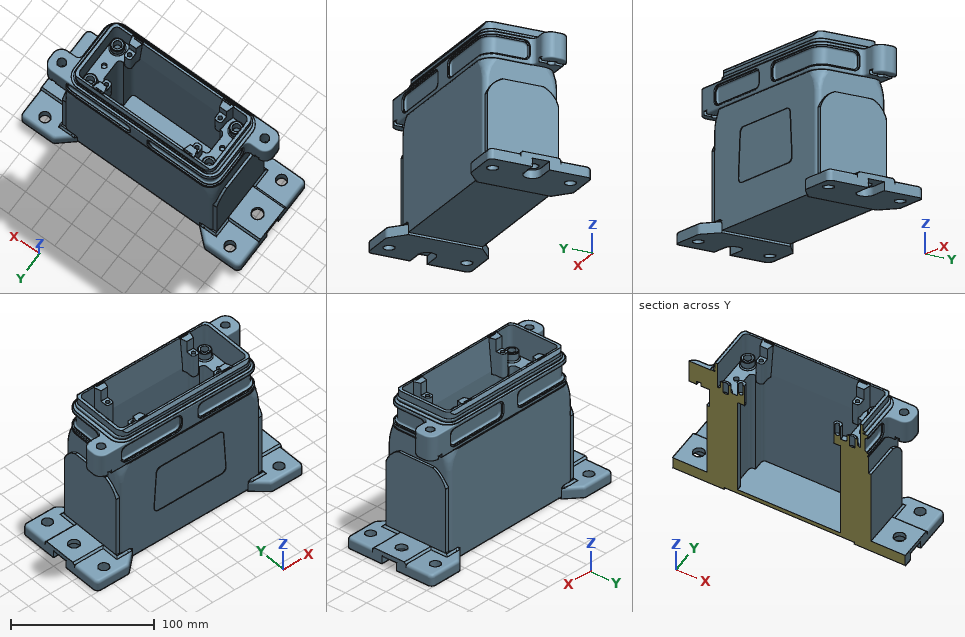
import cadquery as cq
import math

LENGTH = 189.0
WIDTH = 80.0
HEIGHT = 119.8

BODY_HALF_X = 64.6
BODY_HALF_Y = 29.0
BODY_BOTTOM = 1.7
BODY_CORNER = 4.2
CORNER_BLEND_START = 75.6
CORNER_BLEND_STEPS = 4

END_PLATE_HALF_X = 66.7
END_PLATE_HALF_Y = 27.8
END_PLATE_TOP = 75.0
END_PLATE_TOP_HALF_Y = 15.9
END_PLATE_SHOULDER = 62.4
END_PLATE_ARC = 20.0

FLANGE_BOTTOM = 91.0
FLANGE_TOP = 111.3
FLANGE_CORNER = 11.2
FLANGE_EDGE = 1.0
FLANGE_STEP_INSET = 0.8
EAR_TOP = 111.0
EAR_END_X = 82.4
EAR_INNER_Y = 10.0
EAR_CORNER = 7.2
EAR_ROOT_FILLET = 3.8
EAR_HOLE_X = 73.3
EAR_HOLE_Y = (EAR_INNER_Y + BODY_HALF_Y) / 2
EAR_HOLE_DIAMETER = 6.6
EAR_NOTCH_WIDTH = 3.4
EAR_NOTCH_HEIGHT = 2.8

RECESS_BOTTOM = 95.0
RECESS_TOP = 107.7
RECESS_DEPTH = 2.8
RECESS_CORNER = 3.8
RECESS_EDGE = 1.1
RECESS_FLOOR_FILLET = 1.1
RECESS_NEAR_X = 8.3
RECESS_FAR_X = 61.6
RECESS_END_Y = 5.7

RIM_HALF_X = 60.1
RIM_HALF_Y = 25.9
RIM_CORNER = 6.6
RIM_CHAMFER_Y = 1.7
RIM_CHAMFER_Z = 2.8
BEAD_HALF_X = 61.8
BEAD_HALF_Y = 26.6
BEAD_BOTTOM = 111.9
BEAD_TOP = 114.3
BEAD_EDGE = 0.8

CAVITY_HALF_X = 57.6
CAVITY_HALF_Y = 22.5
CAVITY_CORNER = 3.8
SHELF_TOP = 97.0
SHELF_INNER_X = 45.5
WELL_HALF_X = 41.5
WELL_HALF_Y = 20.5
WELL_TOP = 92.0
WELL_FLOOR = 5.7
WELL_CORNER = 2.6
BAY_HALF_Y = 9.8
BAY_CORNER = 2.8

COLUMN_X = 39.1
COLUMN_HOLE_Y = 13.6
COLUMN_WIDTH = 6.0
COLUMN_END_Y = 10.4
COLUMN_TOP = 109.2
COLUMN_BOTTOM = 89.8
COLUMN_CORNER = 2.0
COLUMN_HOLE_DIAMETER = 3.0
COLUMN_HOLE_DEPTH = 9.5
RIB_TOP = 119.0
RIB_FRONT_Y = 17.2
RIB_FRONT_WIDTH = 6.0
RIB_ROOT_WIDTH = 9.3
RIB_BACK_Y = 23.6

BOSS_X = 51.5
BOSS_Y = 16.0
BOSS_TOP = 103.8
BOSS_DIAMETER = 10.0
BOSS_BASE_DIAMETER = 12.0
BOSS_HOLE_DIAMETER = 6.0
BOSS_HOLE_DEPTH = 9.5
BOSS_EDGE = 0.5
LOCATION_HOLE_X = 51.0
LOCATION_HOLE_DIAMETER = 4.0
LOCATION_HOLE_DEPTH = 3.8
DRILL_POINT_ANGLE = 118.0

FOOT_WING_TOP = 8.7
FOOT_STRIP_TOP = 10.2
FOOT_STRIP_HALF_Y = 14.2
FOOT_INNER_X = 52.7
FOOT_SHOULDER_X = 65.2
FOOT_CORNER = 3.8
FOOT_INNER_CORNER = 3.8
FOOT_EDGE = 2.5
FOOT_BEAD_TAPER = 45.0
FOOT_SIDE_HOLE_X = 80.0
FOOT_SIDE_HOLE_Y = 30.2
FOOT_SIDE_HOLE_DIAMETER = 8.3
FOOT_MIDDLE_HOLE_X = 81.5
FOOT_MIDDLE_HOLE_DIAMETER = 8.9
FOOT_SLOT_WIDTH = 13.5
FOOT_SLOT_HEIGHT = 6.5

LABEL_BOTTOM = 30.6
LABEL_TOP = 70.7
LABEL_HALF_WIDTH_BOTTOM = 33.0
LABEL_HALF_WIDTH_TOP = 30.5
LABEL_CORNER = 4.2
LABEL_DEPTH = 0.4


def block(x_min, x_max, y_min, y_max, z_min, z_max):
    size = (x_max - x_min, y_max - y_min, z_max - z_min)
    return cq.Workplane("XY").box(*size, centered=False).translate((x_min, y_min, z_min))


def rounded_block(half_x, half_y, radius, z_min, z_max):
    whole = block(-half_x, half_x, -half_y, half_y, z_min, z_max)
    return whole.edges("|Z").fillet(radius)


def with_half_turn(shape):
    """The shape together with its copy turned half way round the vertical axis."""
    return shape.union(shape.rotate((0, 0, 0), (0, 0, 1), 180))


def four_corners(x, y):
    return [(side_x * x, side_y * y) for side_x in (-1, 1) for side_y in (-1, 1)]


def cylinder(x, y, diameter, z_min, z_max):
    disc = cq.Workplane("XY", origin=(x, y, z_min)).circle(diameter / 2)
    return disc.extrude(z_max - z_min)


def drilled_hole(x, y, diameter, top, depth):
    """A blind hole with a conical bottom."""
    radius = diameter / 2
    point = radius / math.tan(math.radians(DRILL_POINT_ANGLE / 2))
    half_section = [(0, 0), (radius, 0), (radius, -depth), (0, -depth - point)]
    hole = cq.Workplane("XZ").polyline(half_section).close().revolve(360, (0, 0), (0, 1))
    return hole.translate((x, y, top))


def make_body():
    body = rounded_block(BODY_HALF_X, BODY_HALF_Y, BODY_CORNER, BODY_BOTTOM, CORNER_BLEND_START)

    blend = cq.Workplane("XY", origin=(0, 0, CORNER_BLEND_START))
    sections = []
    for step in range(CORNER_BLEND_STEPS + 1):
        part_way = step / CORNER_BLEND_STEPS
        radius = BODY_CORNER + (FLANGE_CORNER - BODY_CORNER) * part_way**2
        section = cq.Sketch().rect(2 * BODY_HALF_X, 2 * BODY_HALF_Y).vertices().fillet(radius)
        rise = (FLANGE_BOTTOM - CORNER_BLEND_START) * part_way
        sections.append(section.moved(cq.Location(cq.Vector(0, 0, rise))))
    body = body.union(blend.placeSketch(*sections).loft())

    plate_outline = (
        cq.Workplane("YZ")
        .moveTo(-END_PLATE_HALF_Y, BODY_BOTTOM)
        .lineTo(-END_PLATE_HALF_Y, END_PLATE_SHOULDER)
        .radiusArc((-END_PLATE_TOP_HALF_Y, END_PLATE_TOP), END_PLATE_ARC)
        .lineTo(END_PLATE_TOP_HALF_Y, END_PLATE_TOP)
        .radiusArc((END_PLATE_HALF_Y, END_PLATE_SHOULDER), END_PLATE_ARC)
        .lineTo(END_PLATE_HALF_Y, BODY_BOTTOM)
        .close()
    )
    plates = plate_outline.extrude(END_PLATE_HALF_X, both=True)
    return body.union(plates)


def make_flange():
    ear = block(0, EAR_END_X, EAR_INNER_Y, BODY_HALF_Y, FLANGE_BOTTOM, EAR_TOP)
    ear = ear.edges("|Z and >X").fillet(EAR_CORNER)
    flange = rounded_block(BODY_HALF_X, BODY_HALF_Y, FLANGE_CORNER, FLANGE_BOTTOM, EAR_TOP)
    flange = flange.union(with_half_turn(ear)).clean()
    for root in [(BODY_HALF_X, EAR_INNER_Y), (-BODY_HALF_X, -EAR_INNER_Y)]:
        middle = (*root, (FLANGE_BOTTOM + EAR_TOP) / 2)
        flange = flange.edges(cq.selectors.NearestToPointSelector(middle)).fillet(EAR_ROOT_FILLET)
    flange = flange.faces("<Z or >Z").edges().fillet(FLANGE_EDGE)

    step_x = BODY_HALF_X - FLANGE_STEP_INSET
    step_y = BODY_HALF_Y - FLANGE_STEP_INSET
    step_corner = FLANGE_CORNER - FLANGE_STEP_INSET
    flange = flange.union(rounded_block(step_x, step_y, step_corner, EAR_TOP, FLANGE_TOP))

    hole = cylinder(EAR_HOLE_X, EAR_HOLE_Y, EAR_HOLE_DIAMETER, FLANGE_BOTTOM, EAR_TOP)
    notch = block(
        EAR_HOLE_X - EAR_NOTCH_WIDTH / 2, EAR_HOLE_X + EAR_NOTCH_WIDTH / 2, 0, BODY_HALF_Y,
        FLANGE_BOTTOM, FLANGE_BOTTOM + EAR_NOTCH_HEIGHT,
    )
    return flange.cut(with_half_turn(hole.union(notch)))


def recess_step(margin, depth):
    """Recesses of one front and one end side, grown by a margin and cut to a depth."""
    bottom = RECESS_BOTTOM - margin
    top = RECESS_TOP + margin
    radius = RECESS_CORNER + margin
    floor_x = BODY_HALF_X - depth
    floor_y = BODY_HALF_Y - depth

    straight = block(-RECESS_FAR_X - margin, -RECESS_NEAR_X + margin, -WIDTH, -floor_y, bottom, top)
    straight = straight.edges("|Y").fillet(radius)

    front = block(RECESS_NEAR_X - margin, LENGTH, -WIDTH, FLANGE_CORNER - BODY_HALF_Y, bottom, top)
    front = front.edges("|Y and <X").fillet(radius)
    end = block(BODY_HALF_X - FLANGE_CORNER, LENGTH, -WIDTH, RECESS_END_Y + margin, bottom, top)
    end = end.edges("|X and >Y").fillet(radius)
    core = rounded_block(floor_x, floor_y, FLANGE_CORNER - depth, 0, HEIGHT)
    return straight, front.union(end).cut(core)


def make_flange_recesses():
    straight_lip, wrapped_lip = recess_step(RECESS_EDGE, RECESS_EDGE)
    straight, wrapped = recess_step(0, RECESS_DEPTH)
    straight = straight.faces(">Y").edges().fillet(RECESS_FLOOR_FILLET)
    floor_x = BODY_HALF_X - RECESS_DEPTH + RECESS_FLOOR_FILLET / 2
    floor_y = BODY_HALF_Y - RECESS_DEPTH + RECESS_FLOOR_FILLET / 2
    floor_edges = cq.selectors.BoxSelector((-floor_x, -floor_y, 0), (floor_x, floor_y, HEIGHT))
    wrapped = wrapped.edges(floor_edges).fillet(RECESS_FLOOR_FILLET)
    return with_half_turn(straight.union(wrapped).union(straight_lip).union(wrapped_lip))


def make_rim():
    rim = rounded_block(RIM_HALF_X, RIM_HALF_Y, RIM_CORNER, FLANGE_TOP, HEIGHT)
    profile = [
        (-RIM_HALF_Y, FLANGE_TOP),
        (-RIM_HALF_Y, HEIGHT - RIM_CHAMFER_Z),
        (-RIM_HALF_Y + RIM_CHAMFER_Y, HEIGHT),
        (RIM_HALF_Y - RIM_CHAMFER_Y, HEIGHT),
        (RIM_HALF_Y, HEIGHT - RIM_CHAMFER_Z),
        (RIM_HALF_Y, FLANGE_TOP),
    ]
    rim = rim.intersect(cq.Workplane("YZ").polyline(profile).close().extrude(RIM_HALF_X, both=True))
    bead_corner = RIM_CORNER + BEAD_HALF_X - RIM_HALF_X
    bead = rounded_block(BEAD_HALF_X, BEAD_HALF_Y, bead_corner, BEAD_BOTTOM, BEAD_TOP)
    bead = bead.faces("<Z or >Z").edges().fillet(BEAD_EDGE)
    return rim.union(bead)


def make_cavity():
    upper = rounded_block(CAVITY_HALF_X, CAVITY_HALF_Y, CAVITY_CORNER, SHELF_TOP, HEIGHT)
    well = rounded_block(WELL_HALF_X, WELL_HALF_Y, WELL_CORNER, WELL_FLOOR, SHELF_TOP)
    bay = rounded_block(SHELF_INNER_X, BAY_HALF_Y, BAY_CORNER, WELL_FLOOR, SHELF_TOP)

    leaning_walls = [
        (-CAVITY_HALF_Y, HEIGHT), (-WELL_HALF_Y, WELL_TOP), (WELL_HALF_Y, WELL_TOP), (CAVITY_HALF_Y, HEIGHT)
    ]
    throat = cq.Workplane("YZ").polyline(leaning_walls).close().extrude(WELL_HALF_X, both=True)
    middle = block(-WELL_HALF_X, WELL_HALF_X, -WIDTH, WIDTH, SHELF_TOP, HEIGHT)
    return upper.cut(middle).union(throat).union(well).union(bay)


def place_in_corner(shape, side_x, side_y):
    """The shape, mirrored from the +X +Y corner into the chosen corner."""
    if side_x < 0:
        shape = shape.mirror("YZ")
    if side_y < 0:
        shape = shape.mirror("XZ")
    return shape


def make_column(side_x, side_y):
    """A screw column in front of a taller rib that widens towards the wall."""
    column = block(
        COLUMN_X - COLUMN_WIDTH / 2, COLUMN_X + COLUMN_WIDTH / 2, COLUMN_END_Y, RIB_BACK_Y,
        COLUMN_BOTTOM, COLUMN_TOP,
    )
    column = column.edges("|Z and <Y").fillet(COLUMN_CORNER)
    rib_outline = [
        (COLUMN_X - RIB_FRONT_WIDTH / 2, RIB_FRONT_Y),
        (COLUMN_X + RIB_FRONT_WIDTH / 2, RIB_FRONT_Y),
        (COLUMN_X + RIB_ROOT_WIDTH / 2, CAVITY_HALF_Y),
        (COLUMN_X + RIB_ROOT_WIDTH / 2, RIB_BACK_Y),
        (COLUMN_X - RIB_ROOT_WIDTH / 2, RIB_BACK_Y),
        (COLUMN_X - RIB_ROOT_WIDTH / 2, CAVITY_HALF_Y),
    ]
    rib = cq.Workplane("XY", origin=(0, 0, COLUMN_BOTTOM)).polyline(rib_outline).close()
    column = column.union(rib.extrude(RIB_TOP - COLUMN_BOTTOM))
    column = column.cut(
        drilled_hole(COLUMN_X, COLUMN_HOLE_Y, COLUMN_HOLE_DIAMETER, COLUMN_TOP, COLUMN_HOLE_DEPTH)
    )
    return place_in_corner(column, side_x, side_y)


def make_rim_notch(side_x, side_y):
    """The notch in the inner edge of the rim above a rib."""
    notch = block(
        COLUMN_X - RIB_ROOT_WIDTH / 2, COLUMN_X + RIB_ROOT_WIDTH / 2, CAVITY_HALF_Y, RIB_BACK_Y,
        RIB_TOP, HEIGHT,
    )
    return place_in_corner(notch, side_x, side_y)


def make_boss(x, y):
    boss = cylinder(x, y, BOSS_DIAMETER, SHELF_TOP, BOSS_TOP).faces(">Z").chamfer(BOSS_EDGE)
    flare = (BOSS_BASE_DIAMETER - BOSS_DIAMETER) / 2
    base = cq.Workplane("XY", origin=(x, y, SHELF_TOP)).circle(BOSS_BASE_DIAMETER / 2)
    base = base.workplane(offset=flare).circle(BOSS_DIAMETER / 2).loft()
    return boss.union(base)


def make_foot():
    """The foot on the +X side."""
    end_x = LENGTH / 2
    half_y = WIDTH / 2
    outline = [
        (FOOT_INNER_X, -BODY_HALF_Y),
        (FOOT_SHOULDER_X, -half_y),
        (end_x, -half_y),
        (end_x, half_y),
        (FOOT_SHOULDER_X, half_y),
        (FOOT_INNER_X, BODY_HALF_Y),
    ]
    wings = cq.Workplane("XY").polyline(outline).close().extrude(FOOT_WING_TOP)
    wings = wings.edges("|Z and >X").fillet(FOOT_CORNER)
    wings = wings.edges("|Z and (>Y or <Y)").edges("<X").fillet(FOOT_INNER_CORNER)
    wings = wings.faces(">Z").edges("not <X").fillet(FOOT_EDGE)

    rise = FOOT_STRIP_TOP - FOOT_WING_TOP
    strip_profile = [
        (-FOOT_STRIP_HALF_Y - rise, 0),
        (-FOOT_STRIP_HALF_Y - rise, FOOT_WING_TOP),
        (-FOOT_STRIP_HALF_Y, FOOT_STRIP_TOP),
        (FOOT_STRIP_HALF_Y, FOOT_STRIP_TOP),
        (FOOT_STRIP_HALF_Y + rise, FOOT_WING_TOP),
        (FOOT_STRIP_HALF_Y + rise, 0),
    ]
    strip = cq.Workplane("YZ", origin=(FOOT_INNER_X, 0, 0)).polyline(strip_profile).close()
    strip = strip.extrude(end_x - FOOT_INNER_X)

    bead = cq.Workplane("XY", origin=(0, 0, FOOT_WING_TOP))
    bead = bead.rect(2 * (END_PLATE_HALF_X + rise), 2 * (BODY_HALF_Y + rise))
    bead = bead.extrude(rise, taper=FOOT_BEAD_TAPER)
    bevelled = cq.Workplane("XY").polyline(outline).close().extrude(FOOT_STRIP_TOP)
    bevelled = bevelled.faces(">Z").chamfer(rise)
    foot = wings.union(strip).union(bead.intersect(bevelled))

    for side in (-1, 1):
        foot = foot.cut(
            cylinder(FOOT_SIDE_HOLE_X, side * FOOT_SIDE_HOLE_Y, FOOT_SIDE_HOLE_DIAMETER, 0, FOOT_STRIP_TOP)
        )
    foot = foot.cut(cylinder(FOOT_MIDDLE_HOLE_X, 0, FOOT_MIDDLE_HOLE_DIAMETER, 0, FOOT_STRIP_TOP))

    half_slot = FOOT_SLOT_WIDTH / 2
    slot = block(FOOT_MIDDLE_HOLE_X, end_x, -half_slot, half_slot, 0, FOOT_SLOT_HEIGHT)
    return foot.cut(slot.union(cylinder(FOOT_MIDDLE_HOLE_X, 0, FOOT_SLOT_WIDTH, 0, FOOT_SLOT_HEIGHT)))


def make_label_field():
    corners = [
        (-LABEL_HALF_WIDTH_BOTTOM, LABEL_BOTTOM),
        (LABEL_HALF_WIDTH_BOTTOM, LABEL_BOTTOM),
        (LABEL_HALF_WIDTH_TOP, LABEL_TOP),
        (-LABEL_HALF_WIDTH_TOP, LABEL_TOP),
    ]
    field = cq.Workplane("XZ", origin=(0, LABEL_DEPTH - BODY_HALF_Y, 0)).polyline(corners).close()
    return field.extrude(LABEL_DEPTH).edges("|Y").fillet(LABEL_CORNER)


housing = make_body().union(make_flange().cut(make_flange_recesses())).union(make_rim())
housing = housing.union(with_half_turn(make_foot())).cut(make_cavity())

for side_x, side_y in four_corners(1, 1):
    housing = housing.cut(make_rim_notch(side_x, side_y)).union(make_column(side_x, side_y))

for x, y in four_corners(BOSS_X, BOSS_Y):
    housing = housing.union(make_boss(x, y))
    housing = housing.cut(drilled_hole(x, y, BOSS_HOLE_DIAMETER, BOSS_TOP, BOSS_HOLE_DEPTH))

for x in (-LOCATION_HOLE_X, LOCATION_HOLE_X):
    housing = housing.cut(
        cylinder(x, 0, LOCATION_HOLE_DIAMETER, SHELF_TOP - LOCATION_HOLE_DEPTH, SHELF_TOP)
    )

result = housing.cut(make_label_field())